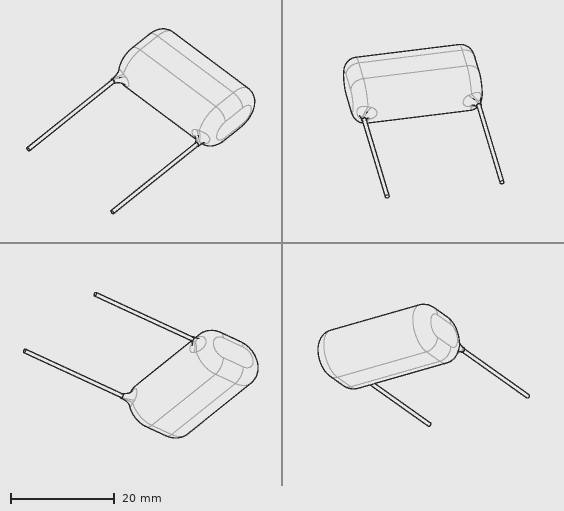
import cadquery as cq

overall_depth = 39.6

housing_length = 25.3
housing_depth = 14.6
housing_height = 9.8
end_fillet = 2.5

lead_pitch = 22.5
neck_radius = 0.5
neck_fillet = 2.5
neck_length = 1.5

lead_diameter = 0.8

housing_front_y = -housing_depth / 2
neck_tip_y = housing_front_y - neck_length
lead_length = overall_depth - housing_depth - neck_length
lead_positions = [-lead_pitch / 2, lead_pitch / 2]


def rod_along_y(x, start_y, end_y, radius):
    """Round rod parallel to Y, from start_y down to end_y, with its surface seam on the +Z side."""
    plane = cq.Plane(origin=(x, start_y, 0), xDir=(0, 0, 1), normal=(0, -1, 0))
    return cq.Workplane(plane).circle(radius).extrude(start_y - end_y)


def make_housing():
    """Rounded oval body with a flared neck for each lead."""
    body = (
        cq.Workplane("YZ")
        .slot2D(housing_depth, housing_height)
        .extrude(housing_length / 2, both=True)
        .faces("<X or >X")
        .edges()
        .fillet(end_fillet)
    )

    for x in lead_positions:
        body = body.union(rod_along_y(x, 0, neck_tip_y, neck_radius))

    for x in lead_positions:
        neck_root = cq.selectors.BoxSelector(
            (x - 2 * neck_radius, neck_tip_y + neck_length / 2, -2 * neck_radius),
            (x + 2 * neck_radius, housing_front_y + end_fillet, 2 * neck_radius),
            boundingbox=True,
        )
        body = body.edges(neck_root).fillet(neck_fillet)
    return body


def make_lead(x):
    """Straight wire butted against the tip of its neck."""
    return rod_along_y(x, neck_tip_y, neck_tip_y - lead_length, lead_diameter / 2)


housing = make_housing()
leads = [make_lead(x) for x in lead_positions]

result = cq.Compound.makeCompound([housing.val(), *[lead.val() for lead in leads]])